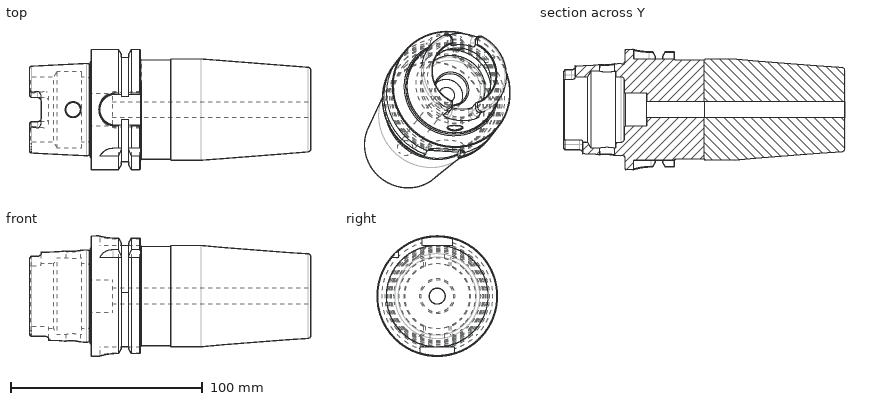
import cadquery as cq
import math

length = 147.0

flange_start = 32.0
taper_end = 29.8
taper_end_radius = 48.4 / 2
taper_slope = 1 / 20
shank_rim_fillet = 1.0
shank_end_radius = taper_end_radius - taper_slope * taper_end

relief_start = 30.7
relief_start_radius = 48.0 / 2
relief_floor_x = 31.5
relief_floor_radius = 23.8
relief_wall_x = 31.6
relief_wall_radius = 24.5
relief_mouth_radius = 25.3

flange_radius = 63.0 / 2
flange_end = 57.9
flange_chamfer = 0.5
groove_center = 49.8
groove_floor_width = 3.8
groove_mouth_width = 6.8
groove_floor_radius = 27.3
groove_flank_angle = 60.0

neck_radius = 52.0 / 2
neck_fillet = 0.6
body_joint = 73.5

mouth_bore_radius = 34.0 / 2
mouth_bore_chamfer = 0.5
mouth_bore_end = 12.6
chamber_radius = 40.0 / 2
shoulder_angle = 60.0
shoulder_length = (chamber_radius - mouth_bore_radius) / math.tan(math.radians(shoulder_angle))
chamber_end = 27.2
seat_floor = 31.6
seat_fillet = 1.5
thread_radius = 16.9 / 2
thread_depth = 11.8
thread_chamfer = 0.7
coolant_radius = 8.2 / 2

cross_hole_diameter = 7.5
cross_hole_x = 22.8
cross_hole_chamfer = 0.5

drive_slot_width = 12.5
upper_slot_depth = 6.0
lower_slot_depth = 10.0
drive_slot_floor_fillet = 1.8
drive_slot_flare_radius = 2.8
drive_slot_mouth_chamfer = 0.9

key_slot_floor = 26.5
upper_key_slot_width = 16.0
lower_key_slot_width = 18.1
key_slot_start = 36.8
key_slot_chamfer = 0.6
notch_start = 35.9
notch_radius = 7.8
notch_wall_y = -20.1
notch_floor_z = 20.1

flat_distance = 21.5
flat_elevation = 42.0

sleeve_radius = 53.0 / 2
sleeve_chamfer = 0.51
nose_taper_start = 89.7
nose_end_radius = 22.0
nose_fillet = 1.8

clearance = 7.4


def revolve_about_x(profile):
    """Turn a closed XY profile (Y = radius) about the X axis."""
    return profile.close().revolve(360, (0, 0, 0), (1, 0, 0))


def cylinder_along_x(start, end, radius):
    """Solid cylinder on the tool axis between two X positions."""
    return cq.Workplane("YZ").workplane(offset=start).circle(radius).extrude(end - start)


def make_outer_form():
    """Holder turned from solid: shank, relief groove, flange without its features, and neck."""
    rim_x = shank_rim_fillet
    rim_radius = shank_end_radius + taper_slope * rim_x
    return revolve_about_x(
        cq.Workplane("XY")
        .lineTo(0, rim_radius - shank_rim_fillet)
        .radiusArc((rim_x, rim_radius), shank_rim_fillet)
        .lineTo(taper_end, taper_end_radius)
        .lineTo(relief_start, relief_start_radius)
        .lineTo(relief_floor_x, relief_floor_radius)
        .lineTo(relief_wall_x, relief_wall_radius)
        .lineTo(flange_start, relief_mouth_radius)
        .lineTo(flange_start, flange_radius - flange_chamfer)
        .lineTo(flange_start + flange_chamfer, flange_radius)
        .lineTo(flange_end - flange_chamfer, flange_radius)
        .lineTo(flange_end, flange_radius - flange_chamfer)
        .lineTo(flange_end, neck_radius + neck_fillet)
        .radiusArc((flange_end + neck_fillet, neck_radius), -neck_fillet)
        .lineTo(body_joint, neck_radius)
        .lineTo(body_joint, 0)
    )


def make_bore():
    """Stepped bore: mouth, clamping chamber, coolant tube seat and thread, coolant hole."""
    thread_end = seat_floor + thread_depth
    stepped_bore = revolve_about_x(
        cq.Workplane("XY")
        .lineTo(0, mouth_bore_radius + mouth_bore_chamfer)
        .lineTo(mouth_bore_chamfer, mouth_bore_radius)
        .lineTo(mouth_bore_end, mouth_bore_radius)
        .lineTo(mouth_bore_end + shoulder_length, chamber_radius)
        .lineTo(chamber_end, chamber_radius)
        .lineTo(chamber_end, mouth_bore_radius)
        .lineTo(seat_floor - seat_fillet, mouth_bore_radius)
        .radiusArc((seat_floor, mouth_bore_radius - seat_fillet), seat_fillet)
        .lineTo(seat_floor, thread_radius + thread_chamfer)
        .lineTo(seat_floor + thread_chamfer, thread_radius)
        .lineTo(thread_end, thread_radius)
        .lineTo(thread_end, 0)
    )
    return stepped_bore.union(cylinder_along_x(seat_floor, body_joint, coolant_radius))


def flared_slot_outline(depth, widening, start):
    """YZ outline of a drive slot whose walls flare in arcs that run out along the shank surface."""
    half_width = drive_slot_width / 2 + widening
    flare_radius = drive_slot_flare_radius - widening
    surface_radius = shank_end_radius + taper_slope * depth
    center_y = drive_slot_width / 2 + drive_slot_flare_radius
    center_z = math.sqrt((surface_radius - drive_slot_flare_radius) ** 2 - center_y**2)
    tangent_angle = math.atan2(center_z, center_y)
    middle_angle = (math.pi + tangent_angle) / 2
    reach = surface_radius + clearance

    def on_flare(angle, side):
        return (
            side * (center_y + flare_radius * math.cos(angle)),
            center_z + flare_radius * math.sin(angle),
        )

    return (
        cq.Workplane("YZ")
        .workplane(offset=start)
        .moveTo(-half_width, 0)
        .lineTo(half_width, 0)
        .lineTo(half_width, center_z)
        .threePointArc(on_flare(middle_angle, 1), on_flare(tangent_angle, 1))
        .lineTo(reach * math.cos(tangent_angle), reach * math.sin(tangent_angle))
        .lineTo(-reach * math.cos(tangent_angle), reach * math.sin(tangent_angle))
        .lineTo(*on_flare(tangent_angle, -1))
        .threePointArc(on_flare(middle_angle, -1), (-half_width, center_z))
        .close()
    )


def make_drive_slot(depth):
    """Cutter for a drive slot on the +Z side, with rounded floor corners and a chamfered mouth."""
    chamfer = drive_slot_mouth_chamfer
    wall_edges_at_floor = cq.selectors.BoxSelector(
        (depth - chamfer, -drive_slot_width, chamfer),
        (depth + chamfer, drive_slot_width, shank_end_radius),
    )
    slot = flared_slot_outline(depth, 0, 0).extrude(depth)
    slot = slot.edges(wall_edges_at_floor).fillet(drive_slot_floor_fillet)
    mouth_outlines = [
        flared_slot_outline(depth, chamfer, 0).wires().val(),
        flared_slot_outline(depth, 0, chamfer).wires().val(),
    ]
    mouth = cq.Workplane(cq.Solid.makeLoft(mouth_outlines, True))
    return slot.union(mouth)


def make_flange_slot(start, width, floor_z, center_y):
    """Cutter that runs along X through the rear of the flange and starts with a full round end."""
    round_radius = width / 2
    return (
        cq.Workplane("XY")
        .workplane(offset=floor_z)
        .moveTo(flange_end + clearance, center_y - round_radius)
        .lineTo(start + round_radius, center_y - round_radius)
        .threePointArc((start, center_y), (start + round_radius, center_y + round_radius))
        .lineTo(flange_end + clearance, center_y + round_radius)
        .close()
        .extrude(flange_radius)
    )


def cut_key_slot(body, width, turn):
    """Cut a flat-floored key slot, turned about X from the +Z side, and break its upper edges."""
    turned = body.rotate((0, 0, 0), (1, 0, 0), -turn)
    turned = turned.cut(make_flange_slot(key_slot_start, width, key_slot_floor, 0))
    middle_of_wall = (key_slot_floor + flange_radius) / 2
    upper_edges = cq.selectors.BoxSelector(
        (key_slot_start, -width, middle_of_wall),
        (flange_end - 2 * flange_chamfer, width, flange_radius + clearance),
    )
    turned = turned.edges(upper_edges).chamfer(key_slot_chamfer)
    return turned.rotate((0, 0, 0), (1, 0, 0), turn)


def make_gripper_groove():
    """Ring cutter of the gripper groove: sloped upper flanks and a straight-walled floor."""
    floor_left = groove_center - groove_floor_width / 2
    floor_right = groove_center + groove_floor_width / 2
    flank_run = (groove_mouth_width - groove_floor_width) / 2
    flank_slope = math.tan(math.radians(groove_flank_angle))
    flank_foot = flange_radius - flank_run * flank_slope
    outer_radius = flange_radius + clearance
    outer_run = (outer_radius - flank_foot) / flank_slope
    return revolve_about_x(
        cq.Workplane("XY")
        .moveTo(floor_left, groove_floor_radius)
        .lineTo(floor_left, flank_foot)
        .lineTo(floor_left - outer_run, outer_radius)
        .lineTo(floor_right + outer_run, outer_radius)
        .lineTo(floor_right, flank_foot)
        .lineTo(floor_right, groove_floor_radius)
    )


def make_groove_flat():
    """Cutter for the flat on the groove floor, as wide as the floor and facing obliquely up and to -Y."""
    return (
        cq.Workplane("XY")
        .box(groove_floor_width, 2 * flange_radius, clearance, centered=(True, True, False))
        .translate((groove_center, 0, flat_distance))
        .rotate((0, 0, 0), (1, 0, 0), 90 - flat_elevation)
    )


def cut_cross_hole(body):
    """Drill the cross hole through both walls of the shank and chamfer its two outer rims."""
    body = body.cut(
        cq.Workplane("XY")
        .workplane(offset=-flange_radius)
        .center(cross_hole_x, 0)
        .circle(cross_hole_diameter / 2)
        .extrude(2 * flange_radius)
    )
    middle_of_wall = (chamber_radius + taper_end_radius) / 2
    for side in (1, -1):
        outer_rim = cq.selectors.BoxSelector(
            (cross_hole_x - cross_hole_diameter, -cross_hole_diameter, side * middle_of_wall),
            (cross_hole_x + cross_hole_diameter, cross_hole_diameter, side * flange_radius),
        )
        body = body.edges(outer_rim).chamfer(cross_hole_chamfer)
    return body


def make_holder():
    """Holder body with all its slots, holes and grooves."""
    body = make_outer_form()
    body = cut_key_slot(body, upper_key_slot_width, 0)
    body = cut_key_slot(body, lower_key_slot_width, 180)
    body = body.cut(make_gripper_groove())
    body = body.cut(make_groove_flat())
    notch_center_y = notch_wall_y - notch_radius
    body = body.cut(make_flange_slot(notch_start, 2 * notch_radius, notch_floor_z, notch_center_y))
    body = body.cut(make_bore())
    body = body.cut(make_drive_slot(upper_slot_depth))
    body = body.cut(make_drive_slot(lower_slot_depth).rotate((0, 0, 0), (1, 0, 0), 180))
    return cut_cross_hole(body)


def make_sleeve():
    """Tapered sleeve in front of the holder, with a rounded nose and the coolant hole through it."""
    sleeve = revolve_about_x(
        cq.Workplane("XY")
        .moveTo(body_joint, coolant_radius)
        .lineTo(body_joint, sleeve_radius - sleeve_chamfer)
        .lineTo(body_joint + sleeve_chamfer, sleeve_radius)
        .lineTo(nose_taper_start, sleeve_radius)
        .lineTo(length, nose_end_radius)
        .lineTo(length, coolant_radius)
    )
    outer_nose_edge = cq.selectors.RadiusNthSelector(-1)
    return sleeve.faces(">X").edges(outer_nose_edge).fillet(nose_fillet)


holder = make_holder()
sleeve = make_sleeve()

result = cq.Compound.makeCompound([holder.val(), sleeve.val()])